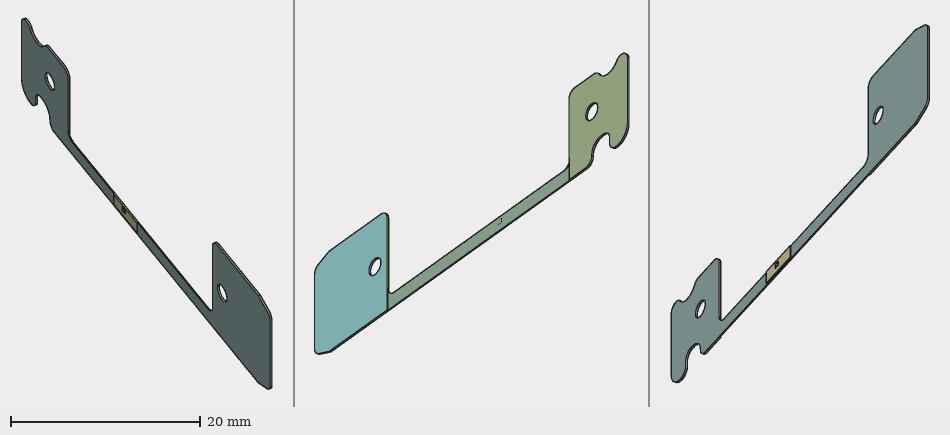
import cadquery as cq
import math

length = 53.25
height = 12.85

patch_thickness = 0.08
strip_thickness = 0.135
stiffener_thickness = 0.1

corner_radius = 1.0
left_tab_width = 9.95
left_tab_height = 11.3
bridge_height = 1.75
right_tab_start = 40.9
taper_length = 2.5
taper_drop = 0.95

toe_width = 3.05
toe_radius = 1.95
slot_end = 6.05
slot_height = 2.7
slot_outer_radius = 1.65

notch_center_x = 3.35
notch_depth = 1.3

hole_diameter = 2.0
hole_z = 6.65
hole_xs = (slot_end, 42.95)

patch_start = 19.85
patch_length = 5.0
patch_bottom = 0.15
window_x = 22.0
window_z = 1.2
window_length = 0.65
window_height = 0.5


def front_plane(y):
    """XZ workplane at depth y; extruding goes toward +Y for negative lengths."""
    return cq.Workplane("XZ", origin=(0, y, 0))


def rounded_polygon(plane, corners):
    """Closed outline through (x, z, radius) corners, each rounded by a tangent arc."""
    arcs = []
    for i, (x, z, radius) in enumerate(corners):
        corner = cq.Vector(x, z)
        before = (cq.Vector(*corners[i - 1][:2]) - corner).normalized()
        after = (cq.Vector(*corners[(i + 1) % len(corners)][:2]) - corner).normalized()
        half_angle = before.getAngle(after) / 2
        tangent_length = radius / math.tan(half_angle)
        middle_distance = radius / math.sin(half_angle) - radius
        arc_middle = corner + (before + after).normalized() * middle_distance
        arcs.append((corner + before * tangent_length, arc_middle, corner + after * tangent_length))
    path = plane.moveTo(*arcs[-1][2].toTuple()[:2])
    for start, middle, end in arcs:
        path = path.lineTo(*start.toTuple()[:2])
        if (end - start).Length > 0:
            path = path.threePointArc(middle.toTuple()[:2], end.toTuple()[:2])
    return path.close()


def make_plate():
    """Full outline at the thickness of the stiffened ends."""
    corners = [
        (0, 0, toe_radius),
        (toe_width, 0, corner_radius),
        (toe_width, slot_height, corner_radius),
        (slot_end, slot_height, slot_outer_radius),
        (slot_end, 0, corner_radius),
        (length - taper_length, 0, 0),
        (length, taper_drop, corner_radius),
        (length, height - taper_drop, corner_radius),
        (length - taper_length, height, 0),
        (right_tab_start, height, corner_radius),
        (right_tab_start, bridge_height, corner_radius),
        (left_tab_width, bridge_height, corner_radius),
        (left_tab_width, left_tab_height, corner_radius),
        (0, left_tab_height, corner_radius),
    ]
    outline = rounded_polygon(front_plane(0), corners)
    return outline.extrude(-(strip_thickness + stiffener_thickness))


def make_notch():
    """Circular notch blended tangentially into a rounded lip on each side."""
    lip_offset = notch_center_x - corner_radius
    lip_center_z = left_tab_height - corner_radius
    bottom_z = left_tab_height - notch_depth
    rise = corner_radius - notch_depth
    notch_radius = (lip_offset**2 + rise**2 - corner_radius**2) / (2 * (corner_radius - rise))
    notch_center_z = bottom_z + notch_radius
    lip_angle = math.atan2(notch_center_z - lip_center_z, lip_offset)
    middle_angle = (lip_angle + math.pi / 2) / 2

    def lip_point(side, angle):
        x = notch_center_x + side * (lip_offset - corner_radius * math.cos(angle))
        return x, lip_center_z + corner_radius * math.sin(angle)

    return (
        front_plane(0)
        .moveTo(*lip_point(-1, math.pi / 2))
        .threePointArc(lip_point(-1, middle_angle), lip_point(-1, lip_angle))
        .threePointArc((notch_center_x, bottom_z), lip_point(1, lip_angle))
        .threePointArc(lip_point(1, middle_angle), lip_point(1, math.pi / 2))
        .close()
        .extrude(-(strip_thickness + stiffener_thickness))
    )


def make_bridge_relief():
    """Material behind the bridge, where there is no stiffener."""
    return (
        front_plane(strip_thickness)
        .moveTo(left_tab_width, 0)
        .rect(right_tab_start - left_tab_width, height, centered=False)
        .extrude(-stiffener_thickness)
    )


def make_holes():
    return (
        front_plane(0)
        .pushPoints([(x, hole_z) for x in hole_xs])
        .circle(hole_diameter / 2)
        .extrude(-(strip_thickness + stiffener_thickness))
    )


def make_patch():
    """Raised patch on the front of the bridge, with a window down to the strip."""
    patch = (
        front_plane(0)
        .moveTo(patch_start, patch_bottom)
        .rect(patch_length, bridge_height - patch_bottom, centered=False)
        .extrude(patch_thickness)
    )
    window = (
        front_plane(0)
        .center(window_x, window_z)
        .rect(window_length, window_height)
        .extrude(patch_thickness)
    )
    return patch.cut(window)


plate = make_plate().cut(make_notch()).cut(make_bridge_relief()).cut(make_holes())
result = plate.union(make_patch())